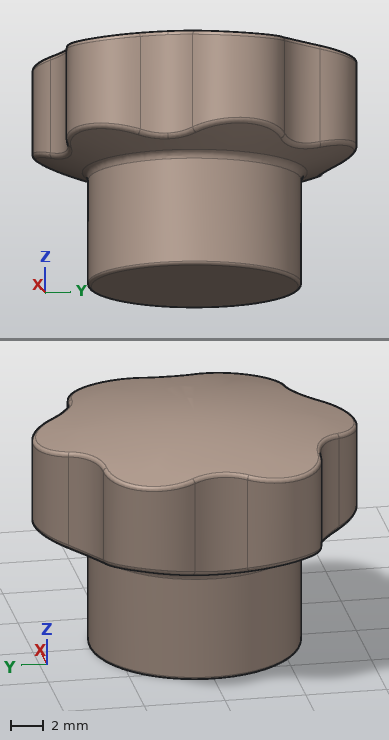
import cadquery as cq
import math

total_height = 15.0
outer_radius = 10.0
lobe_count = 6
lobe_radius = 3.5
valley_radius = 3.5
stem_diameter = 13.0
top_dome_radius = 41.0
under_dome_radius = 23.6
under_dome_bottom = 6.05
top_edge_fillet = 0.25
under_edge_fillet = 0.35
neck_fillet = 0.5
foot_fillet = 0.2

stem_radius = stem_diameter / 2
half_pitch = math.pi / lobe_count
lobe_center = outer_radius - lobe_radius
along_valley = lobe_center * math.cos(half_pitch)
across_valley = lobe_center * math.sin(half_pitch)
valley_center = along_valley + math.sqrt((lobe_radius + valley_radius) ** 2 - across_valley ** 2)
valley_bottom_radius = valley_center - valley_radius


def polar(radius, angle):
    return cq.Vector(radius * math.cos(angle), radius * math.sin(angle))


def lobed_outline():
    """Closed outline of alternating tangent lobe and valley arcs, with a lobe tip on +Y."""
    def junction(lobe_angle, side):
        lobe = polar(lobe_center, lobe_angle)
        valley = polar(valley_center, lobe_angle + side * half_pitch)
        return lobe + (valley - lobe) * (lobe_radius / (lobe_radius + valley_radius))

    first_lobe = math.pi / 2
    outline = cq.Workplane("XY").moveTo(*junction(first_lobe, -1).toTuple()[:2])
    for index in range(lobe_count):
        angle = first_lobe + 2 * index * half_pitch
        next_angle = angle + 2 * half_pitch
        tip = polar(outer_radius, angle)
        lobe_end = junction(angle, 1)
        valley_bottom = polar(valley_bottom_radius, angle + half_pitch)
        valley_end = junction(next_angle, -1)
        outline = outline.threePointArc(tip.toTuple()[:2], lobe_end.toTuple()[:2])
        outline = outline.threePointArc(valley_bottom.toTuple()[:2], valley_end.toTuple()[:2])
    return outline.close()


def domed_blank():
    """Round blank, wider than the lobes, between the top and underside spheres."""
    blank_radius = outer_radius + lobe_radius

    def top_height(radius):
        return total_height - top_dome_radius + math.sqrt(top_dome_radius ** 2 - radius ** 2)

    def under_height(radius):
        return under_dome_bottom + under_dome_radius - math.sqrt(under_dome_radius ** 2 - radius ** 2)

    middle = blank_radius / 2
    return (
        cq.Workplane("XZ")
        .moveTo(0, under_dome_bottom)
        .threePointArc((middle, under_height(middle)), (blank_radius, under_height(blank_radius)))
        .lineTo(blank_radius, top_height(blank_radius))
        .threePointArc((middle, top_height(middle)), (0, total_height))
        .close()
        .revolve(360, (0, 0), (0, 1))
    )


grip = lobed_outline().extrude(total_height).intersect(domed_blank())
grip = grip.faces(">Z").edges().fillet(top_edge_fillet)
grip = grip.faces("<Z").edges().fillet(under_edge_fillet)

stem_top = (under_dome_bottom + total_height) / 2
stem = cq.Workplane("XY").circle(stem_radius).extrude(stem_top)
stem = stem.faces("<Z").edges().fillet(foot_fillet)

near_axis = stem_radius / 2
neck_edge = cq.selectors.BoxSelector(
    (-near_axis, -near_axis, under_dome_bottom),
    (near_axis, near_axis, stem_top),
)
result = grip.union(stem).edges(neck_edge).fillet(neck_fillet)